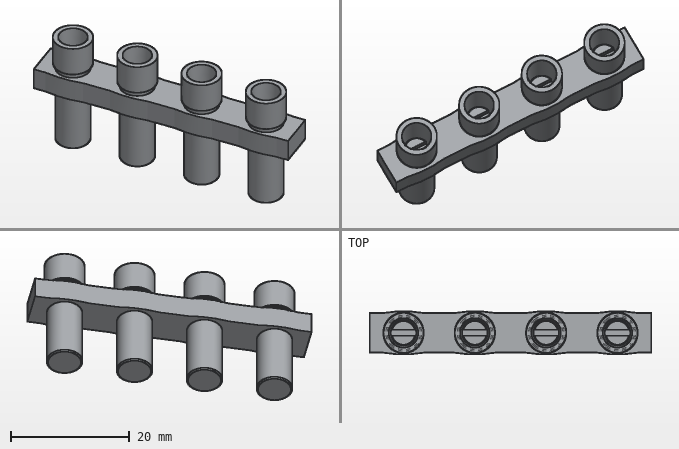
import cadquery as cq


bar_length = 47.4
bar_width = 6.7
bar_height = 4.0
bulge_width = 7.3
bulge_chord = 7.0

pillar_count = 4
pillar_pitch = 12.0

shaft_diameter = 6.0
shaft_depth = 10.9
shaft_chamfer = 0.25
neck_height = 0.9
head_diameter = 6.83
head_height = 5.4
head_chamfer = 0.1

socket_diameter = 5.0
socket_floor_diameter = 4.25
socket_depth = head_height
screw_top_diameter = 4.0
screw_chamfer_height = 0.15
slot_width = 1.0
slot_depth = 0.95

head_bottom_z = bar_height + neck_height
pillar_top_z = head_bottom_z + head_height
socket_floor_z = pillar_top_z - socket_depth
screw_top_z = socket_floor_z + screw_chamfer_height
pillar_xs = [(i - (pillar_count - 1) / 2) * pillar_pitch for i in range(pillar_count)]


def make_bar():
    """Straight bar with a shallow bulge on both sides at every pillar."""
    half_width = bar_width / 2
    half_length = bar_length / 2
    half_chord = bulge_chord / 2
    outline = cq.Workplane("XY").moveTo(-half_length, -half_width)
    for x in pillar_xs:
        outline = outline.lineTo(x - half_chord, -half_width)
        outline = outline.threePointArc((x, -bulge_width / 2), (x + half_chord, -half_width))
    outline = outline.lineTo(half_length, -half_width).lineTo(half_length, half_width)
    for x in reversed(pillar_xs):
        outline = outline.lineTo(x + half_chord, half_width)
        outline = outline.threePointArc((x, bulge_width / 2), (x - half_chord, half_width))
    return outline.lineTo(-half_length, half_width).close().extrude(bar_height)


def make_pillar():
    """Shaft, neck and head turned about Z, with an open socket and a screw slot."""
    shaft_radius = shaft_diameter / 2
    head_radius = head_diameter / 2
    pillar = (
        cq.Workplane("XZ")
        .moveTo(0, -shaft_depth)
        .lineTo(shaft_radius - shaft_chamfer, -shaft_depth)
        .lineTo(shaft_radius, -shaft_depth + shaft_chamfer)
        .lineTo(shaft_radius, head_bottom_z)
        .lineTo(head_radius - head_chamfer, head_bottom_z)
        .lineTo(head_radius, head_bottom_z + head_chamfer)
        .lineTo(head_radius, pillar_top_z)
        .lineTo(socket_diameter / 2, pillar_top_z)
        .lineTo(socket_floor_diameter / 2, socket_floor_z)
        .lineTo(screw_top_diameter / 2, screw_top_z)
        .lineTo(0, screw_top_z)
        .close()
        .revolve(360, (0, 0, 0), (0, 1, 0))
    )
    slot_band = (
        cq.Workplane("XY", origin=(0, 0, screw_top_z))
        .rect(socket_floor_diameter, slot_width)
        .extrude(-slot_depth)
    )
    screw_disc = (
        cq.Workplane("XY", origin=(0, 0, screw_top_z))
        .circle(socket_floor_diameter / 2)
        .extrude(-slot_depth)
    )
    slot = slot_band.intersect(screw_disc)
    return pillar.cut(slot)


result = make_bar()
pillar = make_pillar()
for x in pillar_xs:
    result = result.union(pillar.translate((x, 0, 0)))